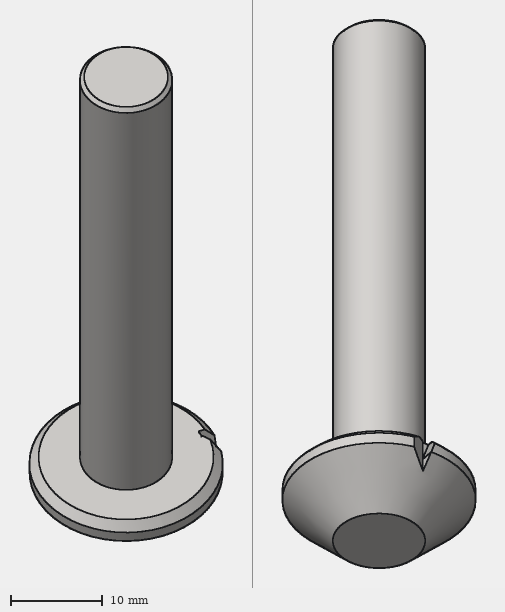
import cadquery as cq
import math

TOTAL_LENGTH = 67.0
STEM_RADIUS = 5.0
STEM_CHAMFER = 0.5
HEAD_RADIUS = 10.5
HEAD_HEIGHT = 7.85
HEAD_CHAMFER = 1.0
CONE_HEIGHT = HEAD_RADIUS - STEM_RADIUS

NOTCH_X = 0.3
NOTCH_ROOT_Y = 8.9
NOTCH_FLANK_ANGLE = 33.0
NOTCH_FLOOR_Y = 8.8
NOTCH_LEAN = 0.8
NOTCH_LEAN_DEPTH = HEAD_HEIGHT - CONE_HEIGHT
NOTCH_OUTER_Y = HEAD_RADIUS + 0.7


def make_notch_tooth():
    """Sawtooth prism through the full head height, with one flank sloping outwards."""
    flank_rise = NOTCH_OUTER_Y - NOTCH_ROOT_Y
    flank_run = flank_rise / math.tan(math.radians(NOTCH_FLANK_ANGLE))
    return (
        cq.Workplane("XY")
        .polyline([
            (NOTCH_X, NOTCH_ROOT_Y),
            (NOTCH_X + flank_run, NOTCH_OUTER_Y),
            (NOTCH_X, NOTCH_OUTER_Y),
        ])
        .close()
        .extrude(HEAD_HEIGHT)
    )


def make_notch_wedge():
    """Wedge that gives the other side of the notch its leaning wall."""
    return (
        cq.Workplane("XZ", origin=(0, NOTCH_FLOOR_Y, 0))
        .polyline([
            (NOTCH_X, HEAD_HEIGHT),
            (NOTCH_X - NOTCH_LEAN, HEAD_HEIGHT),
            (NOTCH_X, HEAD_HEIGHT - NOTCH_LEAN_DEPTH),
        ])
        .close()
        .extrude(NOTCH_FLOOR_Y - NOTCH_OUTER_Y)
    )


def make_head():
    """Flanged head with a conical underside, a chamfered rim and a notch."""
    blank = (
        cq.Workplane("XZ")
        .polyline([
            (0, 0),
            (STEM_RADIUS, 0),
            (HEAD_RADIUS, CONE_HEIGHT),
            (HEAD_RADIUS, HEAD_HEIGHT - HEAD_CHAMFER),
            (HEAD_RADIUS - HEAD_CHAMFER, HEAD_HEIGHT),
            (0, HEAD_HEIGHT),
        ])
        .close()
        .revolve(360, (0, 0), (0, 1))
    )
    return blank.cut(make_notch_tooth()).cut(make_notch_wedge())


def make_stem():
    """Round stem standing on the head, chamfered at its free end."""
    return (
        cq.Workplane("XY", origin=(0, 0, HEAD_HEIGHT))
        .circle(STEM_RADIUS)
        .extrude(TOTAL_LENGTH - HEAD_HEIGHT)
        .faces(">Z")
        .chamfer(STEM_CHAMFER)
    )


head = make_head()
stem = make_stem()

result = cq.Compound.makeCompound([head.val(), stem.val()])